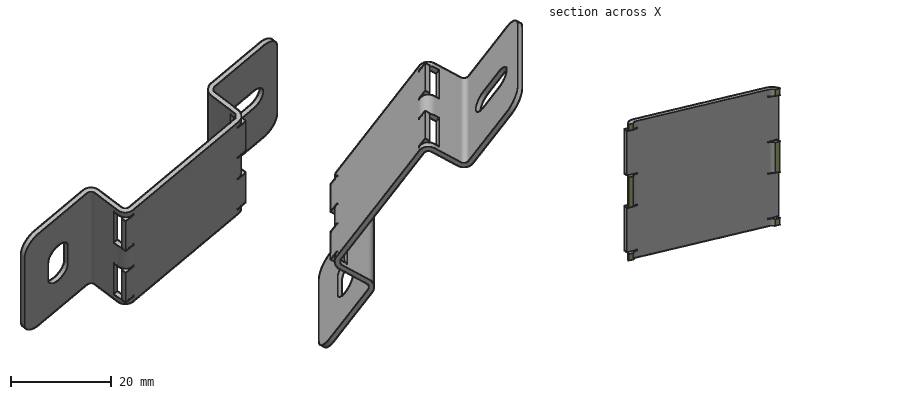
import cadquery as cq

length = 72.9
depth = 10.65
height = 29.95

thickness = 1.1
inner_radius = 1.1
outer_radius = inner_radius + thickness
web_half_width = 17.35

corner_radius = 4.0
obround_length = 11.3
obround_width = 5.6
obround_offset = 26.75

window_height = 10.05
window_edge_margin = 1.5
window_offset = height / 2 - window_edge_margin - window_height / 2
window_depth = outer_radius + thickness
tab_clearance = 0.15
relief_overrun = 0.2

bend_start = web_half_width - outer_radius


def make_flat(x_min, y_min, x_size, y_size, z_size=height):
    """Box with its lowest X, Y corner given and centred on Z = 0."""
    return cq.Workplane("XY").box(x_size, y_size, z_size, centered=(False, False, True)).translate(
        (x_min, y_min, 0)
    )


def make_bend(x_center, y_center, x_side, y_side):
    """Quarter tube about a vertical axis, in the quadrant given by the side signs."""
    ring = cq.Workplane("XY").circle(outer_radius).circle(inner_radius).extrude(height / 2, both=True)
    quadrant = cq.Workplane("XY").box(outer_radius, outer_radius, height).translate(
        (x_side * outer_radius / 2, y_side * outer_radius / 2, 0)
    )
    return ring.intersect(quadrant).translate((x_center, y_center, 0))


def make_half():
    """Folded strip on the +Y side: half web, bend, leg, bend and flange."""
    flange_start = web_half_width + inner_radius
    web = make_flat(depth - thickness, 0, thickness, bend_start)
    web_bend = make_bend(depth - outer_radius, bend_start, 1, 1)
    leg = make_flat(
        outer_radius, web_half_width - thickness, depth - 2 * outer_radius, thickness
    )
    flange_bend = make_bend(outer_radius, flange_start, -1, -1)
    flange = make_flat(0, flange_start, thickness, length / 2 - flange_start)
    flange = flange.edges("|X and >Y").fillet(corner_radius)
    half = web.union(web_bend).union(leg).union(flange_bend).union(flange)

    for z in (-window_offset, window_offset):
        window = make_flat(
            depth - window_depth,
            bend_start - relief_overrun,
            window_depth,
            outer_radius + relief_overrun,
            window_height,
        )
        tab = make_flat(
            depth - thickness,
            bend_start - relief_overrun,
            thickness,
            outer_radius + relief_overrun,
            window_height - 2 * tab_clearance,
        )
        half = half.cut(window.translate((0, 0, z))).union(tab.translate((0, 0, z)))
    return half


def make_obround(y_center, angle):
    """Cutter through a flange; angle 0 is along Y and 90 is along Z."""
    return (
        cq.Workplane("YZ")
        .center(y_center, 0)
        .slot2D(obround_length, obround_width, angle)
        .extrude(thickness)
    )


half = make_half()
bracket = half.union(half.mirror("XZ"))
result = bracket.cut(make_obround(obround_offset, 0)).cut(make_obround(-obround_offset, 90))